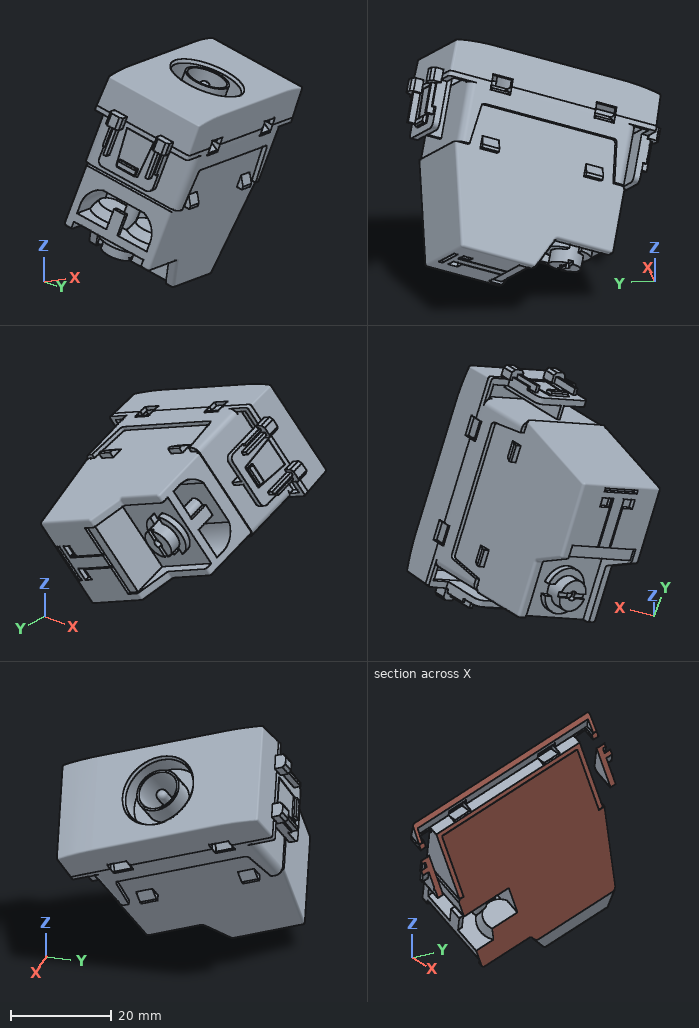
import cadquery as cq
import math


TILT_ABOUT_Y = 33.0
TILT_ABOUT_X = 20.0

RIM_HALF_WIDTH = 11.35
RIM_HALF_LENGTH = 22.5
SIDE_DRAFT = 1.8
CORNER_RADIUS = 0.5
EDGE_RADIUS = 0.4
SEAM_HEIGHT = 1.1
FACE_HEIGHT = 8.6
FACE_FLAT_HALF = 13.95
FACE_END_DROP = 0.9
SKIN = 0.95
ROOF_BOTTOM = FACE_HEIGHT - 1.25

HOLE_RADIUS = 7.5
HOLE_BEVEL = 0.35
HOLE_BEVEL_DEPTH = 0.7
HOLE_TUBE_WALL = 0.8
SOCKET_FLOOR = 3.85
SLEEVE_OUTER_RADIUS = 4.65
SLEEVE_INNER_RADIUS = 4.2
SLEEVE_BOTTOM = -0.5
PIN_RADIUS = 1.15
PIN_TIP = 7.75
PIN_DOME_RADIUS = 1.05

CASE_HALF_WIDTH = 10.4
CASE_HALF_LENGTH = 18.5
CASE_EDGE_RADIUS = 0.6
SHOULDER_BEVEL = 0.35
NECK_HALF_LENGTH = 17.05
NECK_TOP_HALF_WIDTH = 7.75
CASE_SHOULDER = -12.55
CASE_BACK = -33.5
BACK_HALF_Y = 13.3
NOTCH_BACK = -26.6
NOTCH_END_Y = -6.2
NOTCH_SLOPE_END_Y = -2.9
CASE_WALL = 1.95

LEG_HALF_LENGTH = 18.15
LEG_RADIUS = 1.55
CUTOUT_TOP = -3.75
CUTOUT_TOP_HALF = 14.6
CUTOUT_BOTTOM_HALF = 15.75
CUTOUT_RADIUS = 0.75

TAB_HALF_WIDTH = 6.55
TAB_INNER_Y = 21.1
TAB_OUTER_Y = RIM_HALF_LENGTH
TAB_DEPTH = 9.95
TAB_CORNER_RADIUS = 1.3
WEB_WIDTH = 0.75
RIDGE_WIDTH = 0.5
RIDGE_OUTER_Y = 23.2
RIDGE_DEPTH = 5.7
ARM_X = 5.1
ARM_WIDTH = 0.7
ARM_OUTER_Y = 23.95
ARM_DEPTH = 6.95
HEAD_X = 5.6
HEAD_WIDTH = 3.1
HEAD_OUTER_Y = 24.8
HEAD_BOTTOM = -0.65
HEAD_TOP = 2.05
HEAD_BEVEL = 0.6
CATCH_HALF_WIDTH = 2.15
CATCH_OUTER_Y = 23.3
CATCH_BOTTOM = -8.25
CATCH_TOP = -6.6
TONGUE_TOP_HALF = 3.25
TONGUE_BOTTOM_HALF = 2.6
TONGUE_RISE = 0.1

SIDE_CATCH_Y = 11.25
WINDOW_WIDTH = 4.3
WINDOW_BOTTOM = -0.6
WINDOW_TOP = 2.7
CATCH_RECESS = 2.6
CATCH_NOSE_TOP = -0.15
CATCH_SETBACK = 0.1
CASE_CATCH_WIDTH = 3.6
CASE_CATCH_TOP = -10.05
CASE_CATCH_NOSE = -12.1
CASE_CATCH_BOTTOM = -12.75
CASE_CATCH_REACH = 1.25

CHAMBER_TOP = -15.95
CHAMBER_END_Y = -7.2
ARCH_TOP_HALF = 5.0
ARCH_FOOT = -21.4
ARCH_INSET = 1.25
ARCH_DROP = 1.55
PLATE_TOP = -22.95
PLATE_BOTTOM = -24.85
POST_WIDTH = 2.7
POST_TOP = -18.3
POST_DEPTH = 1.05
BOSS_Y = -12.3
COLUMN_RADIUS = 1.45
BOSS_RADIUS = 3.3
BOSS_BACK = -28.9
COLLAR_RADIUS = 4.9
COLLAR_HEIGHT = 1.35
COLLAR_GAP = 2.6
SCREW_RADIUS = 1.0
SCREW_DEPTH = 1.3
DRIVER_SLOT = 1.05
TERMINAL_X = 4.4
TERMINAL_Y = -10.3
TERMINAL_TOP_RADIUS = 3.6
TERMINAL_BASE_RADIUS = 4.8
TERMINAL_TOP = -20.95

LATCH_HALF_WIDTH = 4.35
LATCH_BOTTOM_Y = 8.5
LATCH_TOP_Y = 12.55
LATCH_DEPTH = 1.05
LATCH_BAR_BOTTOM_Y = 10.5
LATCH_BAR_TOP_Y = 11.75
LATCH_STEM_HALF = 1.7
LATCH_GROOVE = 0.3
BACK_STEP_DEPTH = 0.55
BACK_PLATE_END_Y = -2.6


def block(x0, x1, y0, y1, z0, z1):
    """Box between two opposite corners."""
    return cq.Workplane("XY").box(x1 - x0, y1 - y0, z1 - z0, centered=False).translate((x0, y0, z0))


def disc(radius, z0, z1, x=0, y=0):
    """Round bar along Z."""
    return cq.Workplane("XY", origin=(x, y, z0)).circle(radius).extrude(z1 - z0)


def side_profile(points, half_width):
    """Outline in Y and Z, extruded evenly to both sides of the middle plane."""
    return cq.Workplane("YZ").polyline(points).close().extrude(half_width, both=True)


def both_ends(shape):
    """The shape together with its mirror image at the other end."""
    return shape.union(shape.mirror("XZ"))


def is_face_border(edge):
    """True for the edges around the face, not for the lines across it or the upright corners."""
    center = edge.Center()
    across = abs(center.x) < RIM_HALF_WIDTH / 2 and abs(center.y) < FACE_FLAT_HALF + 0.5
    return center.z > FACE_HEIGHT - 2 * FACE_END_DROP and not across


def module_front():
    """Tapered outer shape of flange and cover with the gently rounded face."""
    front = (
        cq.Workplane("XY")
        .rect(2 * RIM_HALF_WIDTH, 2 * RIM_HALF_LENGTH)
        .extrude(FACE_HEIGHT + 0.5, taper=SIDE_DRAFT)
        .edges("not (|X or |Y)")
        .fillet(CORNER_RADIUS)
    )
    run = RIM_HALF_LENGTH - FACE_FLAT_HALF
    bend_radius = (run**2 + FACE_END_DROP**2) / (2 * FACE_END_DROP)
    half_angle = math.asin(run / bend_radius) / 2
    mid_y = FACE_FLAT_HALF + bend_radius * math.sin(half_angle)
    mid_z = FACE_HEIGHT - bend_radius * (1 - math.cos(half_angle))
    end_z = FACE_HEIGHT - FACE_END_DROP
    crown = (
        cq.Workplane("YZ")
        .moveTo(-RIM_HALF_LENGTH, 0)
        .lineTo(-RIM_HALF_LENGTH, end_z)
        .threePointArc((-mid_y, mid_z), (-FACE_FLAT_HALF, FACE_HEIGHT))
        .lineTo(FACE_FLAT_HALF, FACE_HEIGHT)
        .threePointArc((mid_y, mid_z), (RIM_HALF_LENGTH, end_z))
        .lineTo(RIM_HALF_LENGTH, 0)
        .close()
        .extrude(RIM_HALF_WIDTH, both=True)
    )
    front = front.intersect(crown)
    border = [edge for edge in front.edges().vals() if is_face_border(edge)]
    return front.newObject(border).fillet(EDGE_RADIUS)


def side_windows():
    """Recesses for the snap catches where cover and frame meet."""
    inner_x = RIM_HALF_WIDTH - CATCH_RECESS
    windows = cq.Workplane("XY")
    for x0 in (-RIM_HALF_WIDTH, inner_x):
        for y in (-SIDE_CATCH_Y, SIDE_CATCH_Y):
            y0 = y - WINDOW_WIDTH / 2
            windows = windows.union(
                block(x0, x0 + CATCH_RECESS, y0, y0 + WINDOW_WIDTH, WINDOW_BOTTOM, WINDOW_TOP)
            )
    return windows


def make_cover(front):
    """Hollow cover plate with the round opening for the socket."""
    inner_x = RIM_HALF_WIDTH - SKIN
    inner_y = RIM_HALF_LENGTH - SKIN
    cover = front.intersect(
        block(-RIM_HALF_WIDTH, RIM_HALF_WIDTH, -RIM_HALF_LENGTH, RIM_HALF_LENGTH, SEAM_HEIGHT, FACE_HEIGHT)
    )
    cover = cover.cut(
        cq.Workplane("XY", origin=(0, 0, SEAM_HEIGHT))
        .rect(2 * inner_x, 2 * inner_y)
        .extrude(ROOF_BOTTOM - SEAM_HEIGHT, taper=SIDE_DRAFT)
    )
    cover = cover.union(disc(HOLE_RADIUS + HOLE_TUBE_WALL, SEAM_HEIGHT, FACE_HEIGHT))
    cover = cover.cut(disc(HOLE_RADIUS, SEAM_HEIGHT, FACE_HEIGHT))
    bevel_angle = math.degrees(math.atan2(HOLE_BEVEL, HOLE_BEVEL_DEPTH))
    bevel = cq.Workplane("XY", origin=(0, 0, FACE_HEIGHT)).circle(HOLE_RADIUS + HOLE_BEVEL)
    cover = cover.cut(bevel.extrude(-HOLE_BEVEL_DEPTH, taper=bevel_angle))
    return cover.cut(side_windows())


def side_cutouts():
    """Openings with slanted ends through both long sides of the frame."""
    points = [
        (-CUTOUT_TOP_HALF, CUTOUT_TOP),
        (CUTOUT_TOP_HALF, CUTOUT_TOP),
        (CUTOUT_BOTTOM_HALF, CASE_SHOULDER),
        (-CUTOUT_BOTTOM_HALF, CASE_SHOULDER),
    ]
    opening = side_profile(points, RIM_HALF_WIDTH)
    return opening.edges(">Z and |X").fillet(CUTOUT_RADIUS)


def clip_tab():
    """Springy plate at the +Y end with its web, arms, heads and middle catch."""
    tab = block(-TAB_HALF_WIDTH, TAB_HALF_WIDTH, TAB_INNER_Y, TAB_OUTER_Y, -TAB_DEPTH, 0)
    tab = tab.edges("<Z and |Y").fillet(TAB_CORNER_RADIUS)
    web = block(-WEB_WIDTH / 2, WEB_WIDTH / 2, LEG_HALF_LENGTH, TAB_INNER_Y, -TAB_DEPTH, ROOF_BOTTOM)
    tab = tab.union(web)
    tongue = (
        cq.Workplane("XZ", origin=(0, TAB_OUTER_Y, 0))
        .polyline(
            [
                (-TONGUE_TOP_HALF, 0),
                (TONGUE_TOP_HALF, 0),
                (TONGUE_BOTTOM_HALF, CATCH_BOTTOM),
                (-TONGUE_BOTTOM_HALF, CATCH_BOTTOM),
            ]
        )
        .close()
        .extrude(-TONGUE_RISE)
    )
    catch = block(
        -CATCH_HALF_WIDTH, CATCH_HALF_WIDTH, TAB_OUTER_Y, CATCH_OUTER_Y, CATCH_BOTTOM, CATCH_TOP
    )
    tab = tab.union(tongue).union(catch.edges(">Y and |X").chamfer(HEAD_BEVEL / 2))
    for side in (-1, 1):
        ridge_x = side * (TAB_HALF_WIDTH - RIDGE_WIDTH / 2) - RIDGE_WIDTH / 2
        ridge = block(ridge_x, ridge_x + RIDGE_WIDTH, TAB_OUTER_Y, RIDGE_OUTER_Y, -RIDGE_DEPTH, 0)
        arm_x = side * ARM_X - ARM_WIDTH / 2
        arm = block(arm_x, arm_x + ARM_WIDTH, TAB_OUTER_Y, ARM_OUTER_Y, -ARM_DEPTH, 0)
        head_x = side * HEAD_X - HEAD_WIDTH / 2
        head = block(head_x, head_x + HEAD_WIDTH, TAB_OUTER_Y, HEAD_OUTER_Y, HEAD_BOTTOM, HEAD_TOP)
        tab = tab.union(ridge).union(arm).union(head.edges(">Y and |Z").chamfer(HEAD_BEVEL))
    return tab


def frame_catches():
    """Snap wedges that hold the cover, inside the side windows."""
    inner_x = RIM_HALF_WIDTH - CATCH_RECESS
    nose_x = RIM_HALF_WIDTH - CATCH_SETBACK
    wedge = (
        cq.Workplane("XZ")
        .polyline(
            [
                (inner_x, WINDOW_BOTTOM),
                (nose_x, WINDOW_BOTTOM),
                (nose_x, CATCH_NOSE_TOP),
                (inner_x, SEAM_HEIGHT),
            ]
        )
        .close()
        .extrude(CASE_CATCH_WIDTH / 2, both=True)
    )
    wedge = wedge.union(wedge.mirror("YZ"))
    return both_ends(wedge.translate((0, SIDE_CATCH_Y, 0)))


def case_neck():
    """Front part of the case that the frame encloses, narrower behind the flange."""
    wide = block(
        -CASE_HALF_WIDTH, CASE_HALF_WIDTH, -NECK_HALF_LENGTH, NECK_HALF_LENGTH, CASE_SHOULDER, CUTOUT_TOP
    )
    narrow = block(
        -NECK_TOP_HALF_WIDTH, NECK_TOP_HALF_WIDTH,
        -NECK_HALF_LENGTH, NECK_HALF_LENGTH,
        CUTOUT_TOP, SEAM_HEIGHT,
    )
    return wide.union(narrow)


def make_frame(front):
    """Flange, corner legs and spring clips, wrapped around the neck of the case."""
    flange = front.intersect(
        block(-RIM_HALF_WIDTH, RIM_HALF_WIDTH, -RIM_HALF_LENGTH, RIM_HALF_LENGTH, 0, SEAM_HEIGHT)
    )
    slot_x = RIM_HALF_WIDTH - SKIN
    slot = block(-slot_x, slot_x, LEG_HALF_LENGTH, TAB_INNER_Y, 0, SEAM_HEIGHT)
    flange = flange.cut(both_ends(slot))
    legs = block(
        -RIM_HALF_WIDTH, RIM_HALF_WIDTH, -LEG_HALF_LENGTH, LEG_HALF_LENGTH, CASE_SHOULDER, 0
    )
    legs = legs.edges("|Z").fillet(LEG_RADIUS).cut(side_cutouts())
    frame = flange.union(legs).cut(side_windows()).cut(case_neck())
    return frame.union(both_ends(clip_tab())).union(frame_catches())


def case_shell():
    """Outer shape of the case: neck inside the frame and stepped body behind it."""
    body = side_profile(
        [
            (-CASE_HALF_LENGTH + SHOULDER_BEVEL, CASE_SHOULDER),
            (-CASE_HALF_LENGTH, CASE_SHOULDER - SHOULDER_BEVEL),
            (-CASE_HALF_LENGTH, NOTCH_BACK),
            (NOTCH_END_Y, NOTCH_BACK),
            (NOTCH_SLOPE_END_Y, CASE_BACK),
            (BACK_HALF_Y, CASE_BACK),
            (CASE_HALF_LENGTH, CASE_SHOULDER),
        ],
        CASE_HALF_WIDTH,
    )
    rear_corners = cq.selectors.BoxSelector(
        (-CASE_HALF_WIDTH / 2, -CASE_HALF_LENGTH - 0.5, CASE_BACK - 0.5),
        (CASE_HALF_WIDTH / 2, CASE_HALF_LENGTH + 0.5, NOTCH_BACK + 0.5),
    )
    body = body.edges(rear_corners).fillet(CASE_EDGE_RADIUS)
    body = body.faces("<X or >X").edges("not >Z").fillet(CASE_EDGE_RADIUS)
    return body.union(case_neck())


def socket():
    """Coaxial sleeve and pin standing on a round base."""
    base = disc(HOLE_RADIUS, SEAM_HEIGHT, SOCKET_FLOOR)
    sleeve = disc(SLEEVE_OUTER_RADIUS, SEAM_HEIGHT, FACE_HEIGHT)
    return base.union(sleeve)


def socket_pin():
    """Middle contact with a domed tip."""
    pin = disc(PIN_RADIUS, SLEEVE_BOTTOM, PIN_TIP)
    return pin.faces(">Z").edges().fillet(PIN_DOME_RADIUS)


def cable_chamber():
    """Space behind the arched window, and the open space below the floor plate."""
    half_width = CASE_HALF_WIDTH - CASE_WALL
    arch = (
        cq.Workplane("XZ", origin=(0, CHAMBER_END_Y, 0))
        .moveTo(-half_width, PLATE_TOP)
        .lineTo(-half_width, ARCH_FOOT)
        .threePointArc((-half_width + ARCH_INSET, CHAMBER_TOP - ARCH_DROP), (-ARCH_TOP_HALF, CHAMBER_TOP))
        .lineTo(ARCH_TOP_HALF, CHAMBER_TOP)
        .threePointArc((half_width - ARCH_INSET, CHAMBER_TOP - ARCH_DROP), (half_width, ARCH_FOOT))
        .lineTo(half_width, PLATE_TOP)
        .close()
        .extrude(CASE_HALF_LENGTH + CHAMBER_END_Y)
    )
    below = block(-half_width, half_width, -CASE_HALF_LENGTH, BACK_PLATE_END_Y, CASE_BACK, PLATE_BOTTOM)
    step = block(-half_width, half_width, BACK_PLATE_END_Y, 0, CASE_BACK, CASE_BACK + BACK_STEP_DEPTH)
    return arch.union(below).union(step)


def cable_terminals():
    """Post, column, cones and the slotted boss on its split collar."""
    post_y = -CASE_HALF_LENGTH
    post = block(-POST_WIDTH / 2, POST_WIDTH / 2, post_y, post_y + POST_DEPTH, PLATE_TOP, POST_TOP)
    column = disc(COLUMN_RADIUS, PLATE_TOP, CHAMBER_TOP, y=BOSS_Y)
    parts = post.union(column)
    for x in (-TERMINAL_X, TERMINAL_X):
        cone = (
            cq.Workplane("XY", origin=(x, TERMINAL_Y, PLATE_TOP))
            .circle(TERMINAL_BASE_RADIUS)
            .workplane(offset=TERMINAL_TOP - PLATE_TOP)
            .circle(TERMINAL_TOP_RADIUS)
            .loft()
        )
        parts = parts.union(cone)
    boss = disc(BOSS_RADIUS, BOSS_BACK, PLATE_BOTTOM, y=BOSS_Y)
    boss = boss.cut(disc(SCREW_RADIUS, BOSS_BACK, BOSS_BACK + SCREW_DEPTH, y=BOSS_Y))
    boss = boss.cut(
        block(
            -BOSS_RADIUS, BOSS_RADIUS,
            BOSS_Y - DRIVER_SLOT / 2, BOSS_Y + DRIVER_SLOT / 2,
            BOSS_BACK, BOSS_BACK + SCREW_DEPTH / 2,
        )
    )
    collar_back = PLATE_BOTTOM - COLLAR_HEIGHT
    collar = disc(COLLAR_RADIUS, collar_back, PLATE_BOTTOM, y=BOSS_Y)
    gap = block(
        -COLLAR_RADIUS, COLLAR_RADIUS,
        BOSS_Y - COLLAR_GAP / 2, BOSS_Y + COLLAR_GAP / 2,
        collar_back, PLATE_BOTTOM,
    )
    return parts.union(collar.cut(gap)).union(boss)


def latch_cuts():
    """Pocket and grooves that leave a T-shaped latch in the back."""
    top = CASE_BACK + LATCH_DEPTH
    pocket = block(-LATCH_HALF_WIDTH, LATCH_HALF_WIDTH, LATCH_BOTTOM_Y, LATCH_TOP_Y, CASE_BACK, top)
    bar = block(
        -LATCH_HALF_WIDTH, LATCH_HALF_WIDTH, LATCH_BAR_BOTTOM_Y, LATCH_BAR_TOP_Y, CASE_BACK, top
    )
    stem = block(-LATCH_STEM_HALF, LATCH_STEM_HALF, LATCH_BOTTOM_Y, LATCH_BAR_TOP_Y, CASE_BACK, top)
    cuts = pocket.cut(bar).cut(stem)
    for x in (-LATCH_STEM_HALF, LATCH_STEM_HALF - LATCH_GROOVE):
        cuts = cuts.union(
            block(x, x + LATCH_GROOVE, 0, LATCH_BAR_BOTTOM_Y, CASE_BACK, CASE_BACK + LATCH_GROOVE)
        )
    return cuts


def case_catches():
    """Wedges on the long sides of the case that hold it in the wall box."""
    nose_x = CASE_HALF_WIDTH + CASE_CATCH_REACH
    wedge = (
        cq.Workplane("XZ")
        .polyline(
            [
                (CASE_HALF_WIDTH, CASE_CATCH_TOP),
                (nose_x, CASE_CATCH_NOSE),
                (nose_x, CASE_CATCH_BOTTOM),
                (CASE_HALF_WIDTH, CASE_CATCH_BOTTOM),
            ]
        )
        .close()
        .extrude(CASE_CATCH_WIDTH / 2, both=True)
    )
    wedge = wedge.union(wedge.mirror("YZ"))
    return both_ends(wedge.translate((0, SIDE_CATCH_Y, 0)))


def make_case():
    """Rear case with the aerial socket, cable chamber and latch."""
    case = case_shell().union(socket())
    case = case.cut(disc(SLEEVE_INNER_RADIUS, SLEEVE_BOTTOM, FACE_HEIGHT)).union(socket_pin())
    case = case.cut(cable_chamber()).union(cable_terminals())
    return case.cut(latch_cuts()).union(case_catches())


def place(body):
    """Turn an upright body into its final attitude."""
    turned = body.rotate((0, 0, 0), (0, 1, 0), TILT_ABOUT_Y)
    return turned.rotate((0, 0, 0), (1, 0, 0), TILT_ABOUT_X)


module = module_front()
cover = place(make_cover(module))
frame = place(make_frame(module))
case = place(make_case())
result = cq.Compound.makeCompound([cover.val(), frame.val(), case.val()])